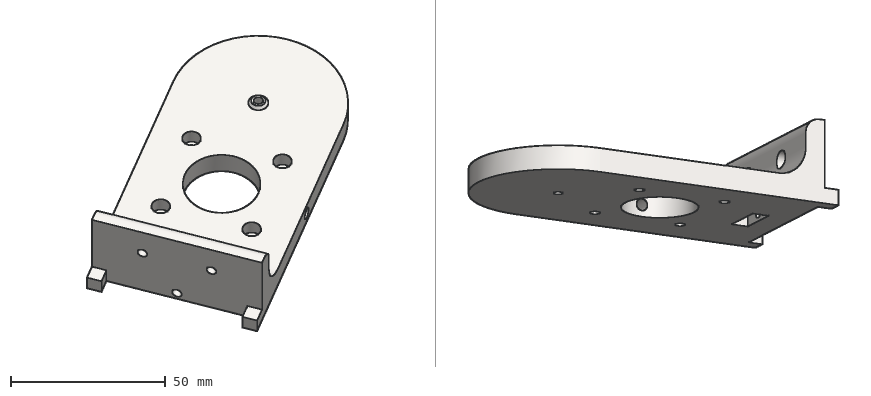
import cadquery as cq

WIDTH = 58.0
LENGTH = 116.0
HEIGHT = 28.0
PLATE_THICKNESS = 8.0
END_RADIUS = WIDTH / 2
END_CENTRE_Y = LENGTH - END_RADIUS

WALL_FRONT_Y = 5.0
WALL_BACK_Y = 12.0
ROOT_RADIUS = 10.0
CREST_RADIUS = 5.0

FOOT_WIDTH = 5.0
FOOT_HEIGHT = 5.2

BORE_DIAMETER = 25.0
BORE_CENTRE_Y = 50.0
SCREW_DIAMETER = 3.2
HEAD_DIAMETER = 6.0
SEAT_THICKNESS = 3.0
SCREW_SPACING = 31.0

WALL_SCREW_SPACING = 23.5
WALL_SCREW_Z = PLATE_THICKNESS + ROOT_RADIUS

BOSS_BASE_DIAMETER = 6.5
BOSS_TOP_DIAMETER = 4.6
BOSS_HEIGHT = 1.0
BOSS_HOLE_DIAMETER = 3.0

FRONT_HOLE_Z = 2.8
SIDE_HOLE_DIAMETER = 4.0
SIDE_HOLE_Z = PLATE_THICKNESS / 2

WINDOW_WIDTH = 14.5
WINDOW_FRONT_Y = 14.2
WINDOW_LEDGE = 0.7
WINDOW_LIP_RADIUS = 2.0
POCKET_FRONT_Y = WINDOW_FRONT_Y - WINDOW_LEDGE
POCKET_BACK_Y = WALL_BACK_Y + ROOT_RADIUS
WINDOW_BACK_Y = POCKET_BACK_Y - WINDOW_LIP_RADIUS


def make_body():
    """Side profile of plate and wall, extruded across the width and rounded at the far end."""
    profile = (
        cq.Workplane("YZ")
        .moveTo(WALL_FRONT_Y, 0)
        .lineTo(LENGTH, 0)
        .lineTo(LENGTH, PLATE_THICKNESS)
        .lineTo(WALL_BACK_Y + ROOT_RADIUS, PLATE_THICKNESS)
        .radiusArc((WALL_BACK_Y, PLATE_THICKNESS + ROOT_RADIUS), ROOT_RADIUS)
        .lineTo(WALL_BACK_Y, HEIGHT - CREST_RADIUS)
        .radiusArc((WALL_BACK_Y - CREST_RADIUS, HEIGHT), -CREST_RADIUS)
        .lineTo(WALL_FRONT_Y, HEIGHT)
        .close()
        .extrude(WIDTH / 2, both=True)
    )
    outline = (
        cq.Workplane("XY")
        .moveTo(-WIDTH / 2, 0)
        .lineTo(WIDTH / 2, 0)
        .lineTo(WIDTH / 2, END_CENTRE_Y)
        .threePointArc((0, LENGTH), (-WIDTH / 2, END_CENTRE_Y))
        .close()
        .extrude(HEIGHT)
    )
    return profile.intersect(outline)


def make_foot(side):
    """Block in front of the wall at one corner; side is -1 or 1."""
    centre_x = side * (WIDTH - FOOT_WIDTH) / 2
    return (
        cq.Workplane("XY")
        .center(centre_x, WALL_FRONT_Y / 2)
        .box(FOOT_WIDTH, WALL_FRONT_Y, FOOT_HEIGHT, centered=(True, True, False))
    )


def make_boss():
    return (
        cq.Workplane("XY", origin=(0, END_CENTRE_Y, PLATE_THICKNESS))
        .circle(BOSS_BASE_DIAMETER / 2)
        .workplane(offset=BOSS_HEIGHT)
        .circle(BOSS_TOP_DIAMETER / 2)
        .loft()
    )


def plate_hole(diameter, y):
    """Vertical cylinder on the centre line, through plate and boss."""
    return cq.Workplane("XY").center(0, y).circle(diameter / 2).extrude(HEIGHT)


def plate_screw_holes():
    """Four counterbored holes in a square around the bore."""
    pattern = cq.Workplane("XY").center(0, BORE_CENTRE_Y).rarray(SCREW_SPACING, SCREW_SPACING, 2, 2)
    shanks = pattern.circle(SCREW_DIAMETER / 2).extrude(PLATE_THICKNESS)
    heads = pattern.circle(HEAD_DIAMETER / 2).extrude(PLATE_THICKNESS - SEAT_THICKNESS)
    return shanks.union(heads.translate((0, 0, SEAT_THICKNESS)))


def wall_screw_holes():
    """Two holes through the wall, counterbored from the back and cutting into the root fillet."""
    pattern = (
        cq.Workplane("XZ", origin=(0, WALL_FRONT_Y, WALL_SCREW_Z))
        .rarray(WALL_SCREW_SPACING, 1.2, 2, 1)
    )
    shanks = pattern.circle(SCREW_DIAMETER / 2).extrude(-ROOT_RADIUS)
    heads = pattern.circle(HEAD_DIAMETER / 2).extrude(-ROOT_RADIUS)
    return shanks.union(heads.translate((0, SEAT_THICKNESS, 0)))


def front_hole():
    """Hole along Y from the front face of the wall into the window."""
    return (
        cq.Workplane("XZ", origin=(0, WALL_FRONT_Y, FRONT_HOLE_Z))
        .circle(SCREW_DIAMETER / 2)
        .extrude(WALL_FRONT_Y - WINDOW_FRONT_Y)
    )


def side_hole():
    """Hole along X from the +X side into the bore."""
    return (
        cq.Workplane("YZ", origin=(0, BORE_CENTRE_Y, SIDE_HOLE_Z))
        .circle(SIDE_HOLE_DIAMETER / 2)
        .extrude(WIDTH / 2)
    )


def window():
    """Slot through the plate with a rounded back lip, opening into a longer pocket above the plate."""
    return (
        cq.Workplane("YZ")
        .moveTo(WINDOW_FRONT_Y, 0)
        .lineTo(WINDOW_BACK_Y, 0)
        .lineTo(WINDOW_BACK_Y, PLATE_THICKNESS - WINDOW_LIP_RADIUS)
        .radiusArc((POCKET_BACK_Y, PLATE_THICKNESS), WINDOW_LIP_RADIUS)
        .lineTo(POCKET_BACK_Y, PLATE_THICKNESS + ROOT_RADIUS)
        .lineTo(POCKET_FRONT_Y, PLATE_THICKNESS + ROOT_RADIUS)
        .lineTo(POCKET_FRONT_Y, PLATE_THICKNESS)
        .lineTo(WINDOW_FRONT_Y, PLATE_THICKNESS)
        .close()
        .extrude(WINDOW_WIDTH / 2, both=True)
    )


result = make_body().union(make_boss())
for side in (-1, 1):
    result = result.union(make_foot(side))
result = (
    result
    .cut(plate_hole(BORE_DIAMETER, BORE_CENTRE_Y))
    .cut(plate_hole(BOSS_HOLE_DIAMETER, END_CENTRE_Y))
    .cut(plate_screw_holes())
    .cut(wall_screw_holes())
    .cut(front_hole())
    .cut(side_hole())
    .cut(window())
)